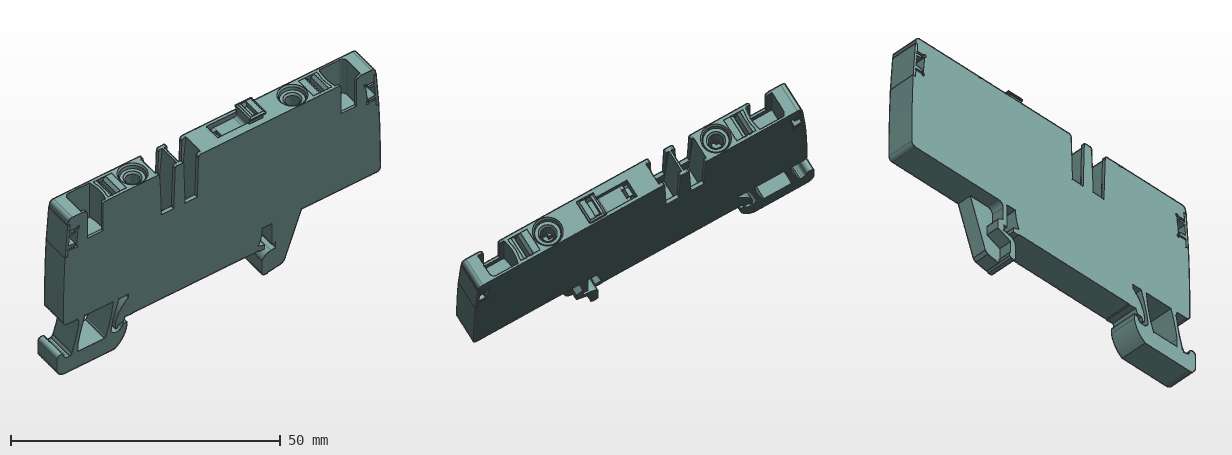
import cadquery as cq
import math


width = 6.1
overall_length = 73.4
half_length = 35.95
hook_tip = half_length - overall_length
top = 39.4
base = 12.4
rail_face = 7.05
x_mid = width / 2
past = 0.7
diagonal = math.sqrt(0.5)

end_bow_mid = (35.9, 21.05)
end_top = 34.8
edge_radius = 0.95
marker_bottom = 29.7
marker_top = 37.8
marker_outer_bottom = 35.6
marker_outer_top = 35.0
marker_inner_bottom = 35.0
marker_inner_top = 34.4

window_bottom = 31.35
window_top = 36.1
window_inner_bottom = 33.0
window_inner_top = 32.6
window_corner_radius = 0.3
prong_tip = 33.25
upper_prong = (35.15, 35.6)
lower_prong = (31.7, 32.3)
prong_taper = 0.3

entry_left = 0.45
entry_right = 5.6
entry_outer = 31.7
entry_side = 26.05
entry_bow = 25.7
entry_corner = 0.95
entry_depth = 8.8
notch_inner = 27.0
notch_outer = 30.45
notch_depth = 7.35
notch_inner_lip_radius = 0.6
notch_outer_lip_radius = 1.2

pusher_left = 0.65
pusher_right = 5.4
pusher_inner = 21.2
pusher_outer = 25.3
pusher_bow = 25.1
pusher_bow_half = 1.75
pusher_depth = 7.35
groove_place = 23.6
groove_mouth_half = 1.0
groove_mouth_depth = 0.6
groove_half = 0.4
groove_depth = 2.05

test_place = 18.1
test_mouth_radius = 2.85
test_wall_radius = 2.6
test_ledge_radius = 2.4
test_chamfer_depth = 0.4
test_ledge_depth = 1.0
test_bore_radius = 1.75
test_hole_radius = 1.4
test_cone_depth = 0.45
test_hole_depth = 4.4
test_cross_depth = 5.9
test_arm_width = 1.0
test_wide_arm_width = 1.7

jumper_wall_floor = 28.8
jumper_core_floor = 25.7
jumper_core_left = 0.7
jumper_core_right = 5.3
jumper_wall_edges = [(-5.3, -5.6, -8.4, -8.65), (-10.6, -10.9, -13.7, -14.1)]
jumper_core_edges = [(-4.4, -5.65, -8.2, -9.3), (-9.75, -11.0, -13.5, -14.6)]
jumper_lip_radii = [(0.65, 0.2), (0.45, 0.4)]

slider_left = 0.65
slider_right = 4.3
slider_inner = 0.3
slider_outer = 10.3
slider_depth = 3.7
slider_floor = 38.2
slider_step = 37.1
slider_tail_start = 1.9
slider_tongue_crest = 1.4
slider_tongue_bulge = (0.65, 37.95)
slider_tongue_left = 1.7
slider_tongue_right = 3.5
slider_end_radius = 0.8
head_left = 0.4
head_right = 4.8
head_inner = 7.2
head_toe_radius = 0.7
cap_left = 0.15
cap_right = 5.0
cap_outer = 10.8
cap_top = 40.9
cap_thickness = 0.6
cap_bevel_height = 0.2
cap_bevel_width = 0.4
pit_outer = 9.25
pit_inner = 8.1
pit_left = 0.65
pit_right = 4.5
pit_depth = 1.0
pit_side_slope = 0.4

rail_block_fixed_side = 9.2
rail_block_spring_side = -21.2
nib_bottom = 6.8
catch_tip = -24.15
catch_bottom = 5.1

leg_inner = 11.3
leg_outer = 12.3
leg_shoulder = 13.7
leg_toe_inner = 9.1
leg_toe_outer = 10.4
leg_heel_outer = 10.65
leg_bottom = 0.15
leg_toe_chamfer = 0.4
rib_left = 2.85
rib_outer = 18.05

arm_root_inner = -23.35
arm_root_outer = -32.7
opening_bottom = 4.0
opening_outer = -32.65
hook_lip = -21.6
hook_lip_top = 5.5
hook_corner_radius = 1.75


def yz_sheet(sketch, left=0.0, right=width):
    """Extrudes a closed Y-Z outline from X = left to X = right."""
    return sketch.extrude(right - left).translate((left, 0, 0))


def yz_prism(points, left=0.0, right=width):
    return yz_sheet(cq.Workplane("YZ").polyline(points).close(), left, right)


def box(left, right, y_low, y_high, z_low, z_high):
    return (
        cq.Workplane("XY")
        .box(right - left, y_high - y_low, z_high - z_low, centered=False)
        .translate((left, y_low, z_low))
    )


def both_ends(shape):
    return [shape, shape.mirror("XZ")]


def block():
    outline = (
        cq.Workplane("YZ")
        .moveTo(-half_length, base)
        .lineTo(half_length, base)
        .threePointArc(end_bow_mid, (marker_outer_bottom, marker_bottom))
        .lineTo(end_top, top)
        .lineTo(-end_top, top)
        .lineTo(-marker_outer_bottom, marker_bottom)
        .threePointArc((-end_bow_mid[0], end_bow_mid[1]), (-half_length, base))
        .close()
    )
    return yz_sheet(outline).edges("|X and (>Z or <Z)").fillet(edge_radius)


def marker_seat():
    return yz_prism([
        (marker_inner_bottom, marker_bottom),
        (half_length + past, marker_bottom),
        (half_length + past, marker_top),
        (marker_inner_top, marker_top),
    ])


def marker_window():
    window = yz_prism([
        (window_inner_bottom, window_bottom),
        (half_length, window_bottom),
        (half_length, window_top),
        (window_inner_top, window_top),
    ])
    for corner in [(window_inner_bottom, window_bottom), (window_inner_top, window_top)]:
        relief = cq.Workplane("YZ").center(*corner).circle(window_corner_radius)
        window = window.union(yz_sheet(relief))
    return window


def rail_block():
    """Block under the housing that rests on the rail, with a nib at each end."""
    outline = (
        cq.Workplane("YZ")
        .moveTo(rail_block_fixed_side, base + past)
        .lineTo(rail_block_fixed_side, base)
        .threePointArc((8.9, 10.1), (8.3, 8.3))
        .lineTo(9.7, 7.8)
        .lineTo(9.7, nib_bottom)
        .lineTo(8.4, nib_bottom)
        .lineTo(8.2, rail_face)
        .lineTo(-20.2, rail_face)
        .lineTo(-20.4, 6.9)
        .lineTo(-21.95, 7.05)
        .lineTo(-22.4, 5.95)
        .lineTo(-23.5, 5.8)
        .lineTo(-23.7, catch_bottom)
        .lineTo(catch_tip, catch_bottom)
        .lineTo(catch_tip, 6.7)
        .threePointArc((-23.05, 9.4), (rail_block_spring_side, 11.6))
        .lineTo(rail_block_spring_side, base + past)
        .close()
    )
    return yz_sheet(outline)


def fixed_leg():
    outline = (
        cq.Workplane("YZ")
        .moveTo(13.6, base + past)
        .lineTo(13.6, base)
        .threePointArc((12.7, 12.0), (leg_outer, 11.15))
        .lineTo(leg_outer, 8.4)
        .lineTo(leg_shoulder, 7.5)
        .lineTo(leg_shoulder, 5.4)
        .lineTo(leg_toe_outer, 4.0)
        .lineTo(leg_toe_outer, 1.5)
        .lineTo(leg_heel_outer, 1.2)
        .lineTo(leg_heel_outer, leg_bottom + leg_toe_chamfer)
        .lineTo(leg_heel_outer - leg_toe_chamfer, leg_bottom)
        .lineTo(leg_toe_inner + leg_toe_chamfer, leg_bottom)
        .lineTo(leg_toe_inner, leg_bottom + leg_toe_chamfer)
        .lineTo(leg_toe_inner, 3.95)
        .threePointArc((9.75, 5.0), (11.15, 5.6))
        .lineTo(12.2, 5.7)
        .lineTo(12.2, rail_face)
        .lineTo(leg_inner, rail_face)
        .lineTo(leg_inner, base + past)
        .close()
    )
    return yz_sheet(outline)


def leg_rib():
    """Triangular rib that fills the outer side of the fixed leg, set back from the left face."""
    return yz_prism(
        [
            (rib_outer, base + past),
            (rib_outer, base),
            (14.2, 1.5),
            (13.5, 0.9),
            (leg_heel_outer, 0.4),
            (9.7, 4.0),
            (13.0, 5.4),
            (11.6, 8.4),
            (11.6, base + past),
        ],
        rib_left,
        width,
    )


def spring_leg():
    """Two slanting arms that carry the hook which snaps under the rail."""
    outline = (
        cq.Workplane("YZ")
        .moveTo(arm_root_inner, base + past)
        .lineTo(arm_root_inner, base)
        .threePointArc((-24.5, 8.5), (-25.2, 5.15))
        .threePointArc((-24.1, 4.2), (-22.75, 4.8))
        .lineTo(-22.3, hook_lip_top)
        .lineTo(hook_lip, hook_lip_top)
        .lineTo(hook_lip, 4.3)
        .threePointArc((-22.5, 1.8), (-24.4, 0.0))
        .lineTo(hook_tip + hook_corner_radius, 0.0)
        .radiusArc((hook_tip, hook_corner_radius), hook_corner_radius)
        .lineTo(hook_tip, 4.55)
        .threePointArc((-36.6, 5.35), (-35.8, 4.55))
        .threePointArc((-35.5, 4.0), (-34.9, 3.8))
        .lineTo(-34.5, 3.8)
        .lineTo(-34.05, 4.4)
        .threePointArc((-33.1, 7.85), (-32.4, 11.6))
        .lineTo(arm_root_outer, base)
        .lineTo(arm_root_outer, base + past)
        .close()
    )
    opening = (
        cq.Workplane("YZ")
        .moveTo(-24.65, base)
        .threePointArc((-25.25, 8.4), (-26.35, 4.5))
        .lineTo(-26.65, opening_bottom)
        .lineTo(opening_outer, opening_bottom)
        .lineTo(opening_outer, 5.9)
        .threePointArc((-32.0, 9.1), (-31.05, base))
        .close()
    )
    return yz_sheet(outline).cut(yz_sheet(opening))


def jumper_channel(edges, floor, left, right):
    """Channel with sloping sides, given by the Y of its edges at the top and at the floor."""
    high_top, high_floor, low_floor, low_top = edges
    return yz_prism(
        [(high_top, top), (high_floor, floor), (low_floor, floor), (low_top, top)],
        left,
        right,
    )


def lip_cutter(y, into, radius, left, right):
    """Rounds the top edge at y, where `into` (+1 or -1) points along Y into the material."""
    corner = (
        cq.Workplane("YZ")
        .moveTo(y, top - radius)
        .threePointArc(
            (y + into * radius * (1 - diagonal), top - radius * (1 - diagonal)),
            (y + into * radius, top),
        )
        .lineTo(y + into * radius, top + past)
        .lineTo(y - into * past, top + past)
        .lineTo(y - into * past, top - radius)
        .close()
    )
    return yz_sheet(corner, left, right)


def wire_entry():
    """Wire pocket whose right wall is cut down by a notch with rounded lips."""
    pocket = (
        cq.Workplane("XY", origin=(0, 0, top - entry_depth))
        .moveTo(entry_left, entry_side)
        .threePointArc((x_mid, entry_bow), (entry_right, entry_side))
        .lineTo(entry_right, entry_outer)
        .lineTo(entry_left + entry_corner, entry_outer)
        .radiusArc((entry_left, entry_outer - entry_corner), -entry_corner)
        .close()
        .extrude(entry_depth)
    )
    notch = box(entry_right - past, width, notch_inner, notch_outer, top - notch_depth, top)
    inner_lip = lip_cutter(notch_inner, -1, notch_inner_lip_radius, entry_right, width)
    outer_lip = lip_cutter(notch_outer, 1, notch_outer_lip_radius, entry_right, width)
    return pocket.union(notch).union(inner_lip).union(outer_lip)


def pusher_block():
    return (
        cq.Workplane("XY", origin=(0, 0, top - pusher_depth))
        .moveTo(pusher_left, pusher_inner)
        .lineTo(pusher_right, pusher_inner)
        .lineTo(pusher_right, pusher_outer)
        .lineTo(x_mid + pusher_bow_half, pusher_outer)
        .threePointArc((x_mid, pusher_bow), (x_mid - pusher_bow_half, pusher_outer))
        .lineTo(pusher_left, pusher_outer)
        .close()
        .extrude(pusher_depth)
    )


def test_socket():
    """Stepped round mouth that leads to a cross-shaped hole."""
    ledge = top - test_ledge_depth
    hole_bottom = top - test_hole_depth
    cross_bottom = top - test_cross_depth
    mouth = (
        cq.Workplane("XZ")
        .moveTo(0, top)
        .lineTo(test_mouth_radius, top)
        .lineTo(test_wall_radius, top - test_chamfer_depth)
        .lineTo(test_ledge_radius, ledge)
        .lineTo(test_bore_radius, ledge)
        .lineTo(test_hole_radius, ledge - test_cone_depth)
        .lineTo(test_hole_radius, hole_bottom)
        .lineTo(0, hole_bottom)
        .close()
        .revolve(360, (0, 0, 0), (0, 1, 0))
    )
    reach = test_bore_radius
    half_arm = test_arm_width / 2
    half_wide = test_wide_arm_width / 2
    cross = (
        box(-half_arm, half_arm, -reach, reach, cross_bottom, hole_bottom)
        .union(box(-reach, reach, -half_arm, half_arm, cross_bottom, hole_bottom))
        .union(box(-half_wide, half_wide, 0, reach, cross_bottom, hole_bottom))
    )
    core = cq.Workplane("XY", origin=(0, 0, cross_bottom)).circle(test_hole_radius)
    core = core.extrude(hole_bottom - cross_bottom)
    return mouth.union(cross.intersect(core)).translate((x_mid, test_place, 0))


def slider_channel():
    return box(slider_left, slider_right, slider_inner, slider_outer, top - slider_depth, top)


def make_housing():
    body = block().union(rail_block()).union(fixed_leg()).union(leg_rib()).union(spring_leg())
    for cutter in both_ends(marker_seat().union(marker_window())):
        body = body.cut(cutter)
    for shape in [wire_entry(), pusher_block(), test_socket()]:
        for cutter in both_ends(shape):
            body = body.cut(cutter)
    for edges, (high_radius, low_radius) in zip(jumper_wall_edges, jumper_lip_radii):
        body = body.cut(jumper_channel(edges, jumper_wall_floor, 0, width))
        body = body.cut(lip_cutter(edges[0], 1, high_radius, 0, width))
        body = body.cut(lip_cutter(edges[-1], -1, low_radius, 0, width))
    for edges in jumper_core_edges:
        body = body.cut(jumper_channel(edges, jumper_core_floor, jumper_core_left, jumper_core_right))
    return body.cut(slider_channel())


def make_marker():
    """Marker plate with two tapered prongs on its inner side."""
    plate = yz_prism([
        (marker_inner_bottom, marker_bottom),
        (marker_outer_bottom, marker_bottom),
        (marker_outer_top, marker_top),
        (marker_inner_top, marker_top),
    ])
    upper_low, upper_high = upper_prong
    lower_low, lower_high = lower_prong
    root = marker_inner_bottom
    upper = yz_prism([
        (root, upper_low - prong_taper), (root, upper_high), (prong_tip, upper_high), (prong_tip, upper_low)
    ])
    lower = yz_prism([
        (root, lower_low), (root, lower_high + prong_taper), (prong_tip, lower_high), (prong_tip, lower_low)
    ])
    return plate.union(upper).union(lower)


def make_pusher():
    """Release pusher with a V-shaped screwdriver groove across its top."""
    shoulder = top - groove_mouth_depth
    groove = yz_prism([
        (groove_place - groove_mouth_half, top),
        (groove_place - groove_half, shoulder),
        (groove_place, top - groove_depth),
        (groove_place + groove_half, shoulder),
        (groove_place + groove_mouth_half, top),
    ])
    return pusher_block().cut(groove)


def slider_box(y_low, z_high):
    """Part of the slider that fills its channel from y_low outward, up to z_high."""
    return box(slider_left, slider_right, y_low, slider_outer, top - slider_depth, z_high)


def slider_bar():
    """Flat bar with a rounded end and a ridged tongue in the middle of that end."""
    bar_end = slider_inner + slider_end_radius
    bar = slider_box(bar_end, slider_floor).edges("|X and >Z and <Y").fillet(slider_end_radius)
    tongue_gap = box(
        slider_tongue_left, slider_tongue_right, slider_inner, slider_tail_start, slider_step, top
    )
    ridge = (
        cq.Workplane("YZ")
        .moveTo(slider_inner, slider_step)
        .lineTo(slider_tail_start, slider_step)
        .lineTo(slider_tongue_crest, slider_floor)
        .threePointArc(slider_tongue_bulge, (slider_inner, slider_step))
        .close()
    )
    tongue = yz_sheet(ridge, slider_tongue_left, slider_tongue_right)
    return bar.cut(tongue_gap).union(slider_box(slider_inner, slider_step)).union(tongue)


def slider_toe():
    """Hollow round between the bar and the inner face of the head."""
    toe_y = head_inner - head_toe_radius
    toe_z = slider_floor + head_toe_radius
    bend = head_toe_radius * diagonal
    outline = (
        cq.Workplane("YZ")
        .moveTo(toe_y, slider_floor)
        .threePointArc((toe_y + bend, toe_z - bend), (head_inner, toe_z))
        .lineTo(head_inner, slider_floor)
        .close()
    )
    return yz_sheet(outline, slider_left, slider_right)


def slider_head():
    """Finger grip with a bevelled cap and a pit in its top."""
    neck = slider_box(head_inner, top)
    head = box(head_left, head_right, head_inner, slider_outer, top, cap_top - cap_thickness)
    cap = box(cap_left, cap_right, head_inner, cap_outer, cap_top - cap_thickness, cap_top)
    cap = cap.faces(">Z").edges().chamfer(cap_bevel_height, cap_bevel_width)
    pit_floor = cap_top - pit_depth
    pit = (
        cq.Workplane("XZ", origin=(0, pit_outer, 0))
        .moveTo(pit_left, cap_top)
        .lineTo(pit_right, cap_top)
        .lineTo(pit_right - pit_side_slope, pit_floor)
        .lineTo(pit_left + pit_side_slope, pit_floor)
        .close()
        .extrude(pit_outer - pit_inner)
    )
    return neck.union(head).union(cap).cut(pit)


def make_slider():
    return slider_bar().union(slider_toe()).union(slider_head())


housing = make_housing()
slider = make_slider()
markers = both_ends(make_marker())
pushers = both_ends(make_pusher())

result = cq.Compound.makeCompound(
    [housing.val(), slider.val()]
    + [marker.val() for marker in markers]
    + [pusher.val() for pusher in pushers]
)